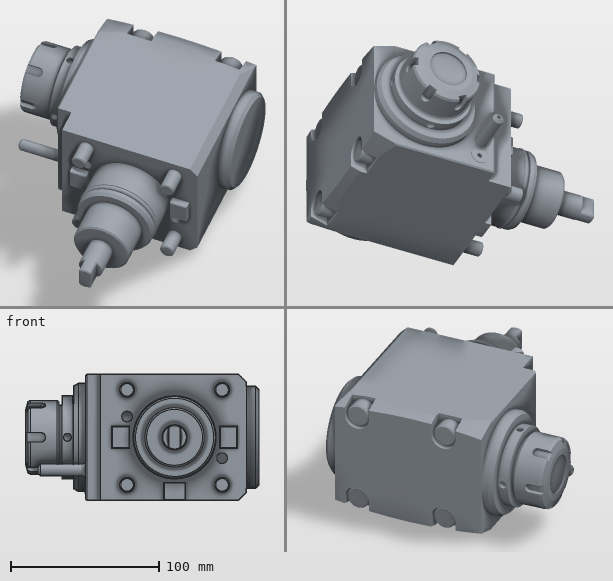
import cadquery as cq
import math


OVERALL_LENGTH = 189.5
HEIGHT = 85.0
LEFT_X = -60.0
RIGHT_X = 48.3
BACK_Y = 36.8
MOUNT_Y = -69.7
STEP_X = -49.8
STEP_Y = -53.0
RIGHT_CHAMFER = 5.3
LEFT_CHAMFER = 1.0
TOP_Z = HEIGHT / 2

RELIEF_AXIS_X = -6.8
RELIEF_RADIUS = 379.0
RELIEF_DEPTH = 2.0
RELIEF_LENGTH = 6.5

FLANGE_RADIUS = 36.5
FLANGE_FACE_X = -68.0
FLANGE_CHAMFER_LENGTH = 3.2
FLANGE_CHAMFER_DEPTH = 1.9
COVER_RADIUS = 34.5
COVER_END_X = 57.0
COVER_CHAMFER = 2.5

SCREW_OFFSET = 32.0
SCREW_DIAMETER = 10.0
SCREW_RADIUS = SCREW_DIAMETER / 2
SCREW_TIP_Y = -84.9
SCREW_CHAMFER = 0.8
HEAD_RADIUS = 8.0
HEAD_TOP_Y = 35.0
HEAD_CHAMFER = 1.0
RECESS_RADIUS = 9.0
RECESS_FLOOR_Y = 25.0

KEY_WIDTH = 15.0
KEY_LENGTH = 12.1
KEY_HEIGHT = 5.1
KEY_INNER = 30.3
KEY_CHAMFER = 0.5

FACE_HOLE_RADIUS = 3.6
FACE_HOLE_Z = 14.0
FACE_HOLE_DEPTH = 7.5
DRILL_TIP_ANGLE = 118.0

PILOT_RADIUS = 27.5
PILOT_END_Y = -99.9
PILOT_CHAMFER_LENGTH = 2.5
PILOT_CHAMFER_DEPTH = 1.1
GROOVE_RADIUS = 25.4
GROOVE_START_Y = -90.2
GROOVE_END_Y = -94.5
RING_SECTION_RADIUS = 1.7
RING_OUTER_RADIUS = 28.0
SHANK_DIAMETER = 40.0
SHANK_RADIUS = SHANK_DIAMETER / 2
SHANK_END_Y = -123.7
SHANK_CHAMFER = 1.1
SHAFT_RADIUS = 8.5
SHAFT_SHOULDER_Y = -142.5
SHAFT_CHAMFER = 0.5
TANG_END_Y = BACK_Y - OVERALL_LENGTH
TANG_WIDTH = 8.7
TANG_CHAMFER = 0.8

PIPE_Y = -41.7
PIPE_Z = -22.0
PIPE_RADIUS = 4.0
PIPE_TIP_X = -92.1
PIPE_TIP_CHAMFER = 1.7
PIPE_BORE_RADIUS = 1.7
PIPE_BORE_DEPTH = 5.7
PIPE_FLARE = 2.3
CAP_Z = -31.8
CAP_RADIUS = 5.9
CAP_HEIGHT = 0.4
SOCKET_WIDTH = 3.5
SOCKET_DEPTH = 2.8

NUT_FACE_X = -100.6
NUT_FACE_RADIUS = 18.0
NUT_CONE_X = -99.0
NUT_CONE_RADIUS = 24.0
NUT_RADIUS = 25.0
NUT_BODY_X = -97.2
NUT_BACK_X = -77.9
NUT_BACK_CHAMFER = 1.3
NECK_RADIUS = 21.8
COLLET_RADIUS = 13.6
COLLET_RECESS = 1.5
SLOT_COUNT = 6
SLOT_WIDTH = 6.5
SLOT_END_X = -87.0
SLOT_FLOOR_RADIUS = 21.6
COLLAR_RADIUS = 28.2
COLLAR_FRONT_X = -75.8
COLLAR_BACK_X = -68.6
COLLAR_HOLE_COUNT = 4
COLLAR_HOLE_RADIUS = 2.7
COLLAR_HOLE_DEPTH = 3.8
JOURNAL_RADIUS = 22.7


def turned_x(points):
    """Solid turned about the X axis from (x, radius) points."""
    return cq.Workplane("XY").polyline(points).close().revolve(360, (0, 0, 0), (1, 0, 0))


def turned_y(points):
    """Solid turned about the Y axis from (radius, y) points."""
    return cq.Workplane("XY").polyline(points).close().revolve(360, (0, 0, 0), (0, 1, 0))


def cylinder_y(radius, x, z, start_y, end_y):
    """Cylinder parallel to Y, running from start_y towards -Y to end_y."""
    return cq.Workplane("XZ", origin=(x, start_y, z)).circle(radius).extrude(start_y - end_y)


def drill(radius, depth, mouth, direction):
    """Drilled hole with a conical tip below its full-radius depth."""
    start = cq.Vector(*mouth)
    axis = cq.Vector(*direction)
    tip_length = radius / math.tan(math.radians(DRILL_TIP_ANGLE / 2))
    bore = cq.Solid.makeCylinder(radius, depth, start, axis)
    tip = cq.Solid.makeCone(radius, 0, tip_length, start + axis * depth, axis)
    return cq.Workplane(bore).union(cq.Workplane(tip))


def housing_block():
    outline = [
        (LEFT_X, BACK_Y),
        (RIGHT_X, BACK_Y),
        (RIGHT_X, MOUNT_Y),
        (STEP_X, MOUNT_Y),
        (STEP_X, STEP_Y),
        (LEFT_X, STEP_Y),
    ]
    block = cq.Workplane("XY").polyline(outline).close().extrude(TOP_Z, both=True)
    block = block.faces(">X").edges("|Y").chamfer(RIGHT_CHAMFER)
    return block.faces("<X").edges("|Y or <Y").chamfer(LEFT_CHAMFER)


def back_relief():
    """Material outside a wide cone, removed from the upper back edge."""
    base_radius = RELIEF_RADIUS + BACK_Y * RELIEF_DEPTH / RELIEF_LENGTH
    axis_z = TOP_Z - RELIEF_DEPTH - RELIEF_RADIUS
    cone = cq.Solid.makeCone(
        base_radius, RELIEF_RADIUS, BACK_Y, cq.Vector(RELIEF_AXIS_X, 0, axis_z), cq.Vector(0, 1, 0)
    )
    slab = cq.Workplane("XY").box(
        2 * (RIGHT_X - LEFT_X), BACK_Y, TOP_Z, centered=(True, False, False)
    )
    return slab.cut(cq.Workplane(cone))


def screw_recess(x, side):
    """Counterbore in the back face, open through the upper (side 1) or lower (side -1) face."""
    bore = cylinder_y(RECESS_RADIUS, x, side * SCREW_OFFSET, BACK_Y, RECESS_FLOOR_Y)
    wall_height = TOP_Z - SCREW_OFFSET
    opening = cq.Workplane("XY").box(2 * RECESS_RADIUS, BACK_Y - RECESS_FLOOR_Y, wall_height)
    opening = opening.translate(
        (x, (BACK_Y + RECESS_FLOOR_Y) / 2, side * (SCREW_OFFSET + wall_height / 2))
    )
    return bore.union(opening)


def screw(x, z):
    head = cylinder_y(HEAD_RADIUS, x, z, HEAD_TOP_Y, RECESS_FLOOR_Y)
    head = head.faces(">Y").chamfer(HEAD_CHAMFER)
    shank = cylinder_y(SCREW_RADIUS, x, z, RECESS_FLOOR_Y, SCREW_TIP_Y)
    return head.union(shank.faces("<Y").chamfer(SCREW_CHAMFER))


def key(angle):
    """Key at the given angle about the Y axis; 0 points to +X."""
    body = cq.Workplane("XY").box(KEY_LENGTH, KEY_HEIGHT, KEY_WIDTH)
    body = body.faces("<Y").chamfer(KEY_CHAMFER)
    body = body.translate((KEY_INNER + KEY_LENGTH / 2, MOUNT_Y - KEY_HEIGHT / 2, 0))
    return body.rotate((0, 0, 0), (0, 1, 0), angle)


def flange():
    """Spindle flange, sunk into the left face past its edge chamfer."""
    return turned_x([
        (LEFT_X + LEFT_CHAMFER, 0),
        (LEFT_X + LEFT_CHAMFER, FLANGE_RADIUS),
        (FLANGE_FACE_X + FLANGE_CHAMFER_LENGTH, FLANGE_RADIUS),
        (FLANGE_FACE_X, FLANGE_RADIUS - FLANGE_CHAMFER_DEPTH),
        (FLANGE_FACE_X, 0),
    ])


def cover():
    return turned_x([
        (RIGHT_X, 0),
        (RIGHT_X, COVER_RADIUS),
        (COVER_END_X - COVER_CHAMFER, COVER_RADIUS),
        (COVER_END_X, COVER_RADIUS - COVER_CHAMFER),
        (COVER_END_X, 0),
    ])


def mounting_shank():
    """Pilot with its ring groove, then the plain shank."""
    return turned_y([
        (0, MOUNT_Y),
        (PILOT_RADIUS, MOUNT_Y),
        (PILOT_RADIUS, GROOVE_START_Y),
        (GROOVE_RADIUS, GROOVE_START_Y),
        (GROOVE_RADIUS, GROOVE_END_Y),
        (PILOT_RADIUS, GROOVE_END_Y),
        (PILOT_RADIUS, PILOT_END_Y + PILOT_CHAMFER_LENGTH),
        (PILOT_RADIUS - PILOT_CHAMFER_DEPTH, PILOT_END_Y),
        (SHANK_RADIUS, PILOT_END_Y),
        (SHANK_RADIUS, SHANK_END_Y + SHANK_CHAMFER),
        (SHANK_RADIUS - SHANK_CHAMFER, SHANK_END_Y),
        (0, SHANK_END_Y),
    ])


def sealing_ring():
    ring_y = GROOVE_START_Y - RING_SECTION_RADIUS
    ring_radius = RING_OUTER_RADIUS - RING_SECTION_RADIUS
    ring = cq.Solid.makeTorus(
        ring_radius, RING_SECTION_RADIUS, cq.Vector(0, ring_y, 0), cq.Vector(0, 1, 0)
    )
    return cq.Workplane(ring)


def drive_end():
    """Drive shaft with a chamfered shoulder and a flat tang that keeps its full diameter."""
    shaft = cylinder_y(SHAFT_RADIUS, 0, 0, SHANK_END_Y, SHAFT_SHOULDER_Y)
    shaft = shaft.faces("<Y").chamfer(SHAFT_CHAMFER)
    tang_start_y = SHAFT_SHOULDER_Y + SHAFT_CHAMFER
    length = tang_start_y - TANG_END_Y
    bar = cylinder_y(SHAFT_RADIUS, 0, 0, tang_start_y, TANG_END_Y)
    flats = cq.Workplane("XY").box(TANG_WIDTH, length, 2 * SHAFT_RADIUS)
    flats = flats.translate((0, tang_start_y - length / 2, 0))
    tang = bar.intersect(flats).faces("<Y or <X or >X").edges().chamfer(TANG_CHAMFER)
    return shaft.union(tang)


def coolant_pipe():
    """Pipe along -X with a chamfered, bored tip and a concave flare at its root."""
    arc_mid = PIPE_FLARE * (1 - math.sqrt(0.5))
    profile = (
        cq.Workplane("XY", origin=(0, PIPE_Y, PIPE_Z))
        .moveTo(LEFT_X + LEFT_CHAMFER, 0)
        .lineTo(LEFT_X + LEFT_CHAMFER, PIPE_RADIUS + PIPE_FLARE)
        .lineTo(LEFT_X, PIPE_RADIUS + PIPE_FLARE)
        .threePointArc((LEFT_X - arc_mid, PIPE_RADIUS + arc_mid), (LEFT_X - PIPE_FLARE, PIPE_RADIUS))
        .lineTo(PIPE_TIP_X + PIPE_TIP_CHAMFER, PIPE_RADIUS)
        .lineTo(PIPE_TIP_X, PIPE_RADIUS - PIPE_TIP_CHAMFER)
        .lineTo(PIPE_TIP_X, PIPE_BORE_RADIUS)
        .lineTo(PIPE_TIP_X + PIPE_BORE_DEPTH, PIPE_BORE_RADIUS)
        .lineTo(PIPE_TIP_X + PIPE_BORE_DEPTH, 0)
        .close()
    )
    return profile.revolve(360, (0, 0, 0), (1, 0, 0))


def cap_screw():
    face = cq.Workplane("YZ", origin=(LEFT_X, PIPE_Y, CAP_Z))
    return face.circle(CAP_RADIUS).extrude(-CAP_HEIGHT)


def cap_socket():
    face = cq.Workplane("YZ", origin=(LEFT_X - CAP_HEIGHT, PIPE_Y, CAP_Z))
    return face.polygon(6, SOCKET_WIDTH, circumscribed=True).extrude(SOCKET_DEPTH)


def drilled_face_hole():
    mouth = (-SCREW_OFFSET, MOUNT_Y, FACE_HOLE_Z)
    return drill(FACE_HOLE_RADIUS, FACE_HOLE_DEPTH, mouth, (0, 1, 0))


def flat_face_hole():
    floor_y = MOUNT_Y + FACE_HOLE_DEPTH
    return cylinder_y(FACE_HOLE_RADIUS, SCREW_OFFSET, -FACE_HOLE_Z, floor_y, MOUNT_Y)


def make_housing():
    body = housing_block()
    relief = back_relief()
    body = body.cut(relief).cut(relief.mirror("XY"))
    for part in (flange(), cover(), mounting_shank(), sealing_ring(), drive_end()):
        body = body.union(part)
    for x in (-SCREW_OFFSET, SCREW_OFFSET):
        for side in (-1, 1):
            body = body.cut(screw_recess(x, side))
            body = body.union(screw(x, side * SCREW_OFFSET))
    for angle in (0, 90, 180):
        body = body.union(key(angle))
    body = body.union(cap_screw()).cut(cap_socket()).union(coolant_pipe())
    return body.cut(drilled_face_hole()).cut(flat_face_hole())


def nut_slot():
    """Round-ended spanner slot on the +Z side of the nut, open at its face."""
    round_x = SLOT_END_X - SLOT_WIDTH / 2
    floor = cq.Workplane("XY", origin=(0, 0, SLOT_FLOOR_RADIUS))
    return (
        floor.moveTo(NUT_FACE_X, -SLOT_WIDTH / 2)
        .lineTo(round_x, -SLOT_WIDTH / 2)
        .threePointArc((SLOT_END_X, 0), (round_x, SLOT_WIDTH / 2))
        .lineTo(NUT_FACE_X, SLOT_WIDTH / 2)
        .close()
        .extrude(NUT_RADIUS)
    )


def make_spindle():
    """Collet nut, neck, wrench collar and the journal that meets the flange."""
    body = turned_x([
        (NUT_FACE_X + COLLET_RECESS, 0),
        (NUT_FACE_X + COLLET_RECESS, COLLET_RADIUS),
        (NUT_FACE_X, COLLET_RADIUS),
        (NUT_FACE_X, NUT_FACE_RADIUS),
        (NUT_CONE_X, NUT_CONE_RADIUS),
        (NUT_BODY_X, NUT_RADIUS),
        (NUT_BACK_X - NUT_BACK_CHAMFER, NUT_RADIUS),
        (NUT_BACK_X, NUT_RADIUS - NUT_BACK_CHAMFER),
        (NUT_BACK_X, NECK_RADIUS),
        (COLLAR_FRONT_X, NECK_RADIUS),
        (COLLAR_FRONT_X, COLLAR_RADIUS),
        (COLLAR_BACK_X, COLLAR_RADIUS),
        (COLLAR_BACK_X, JOURNAL_RADIUS),
        (FLANGE_FACE_X, JOURNAL_RADIUS),
        (FLANGE_FACE_X, 0),
    ])
    slot_pitch = 360 / SLOT_COUNT
    for i in range(SLOT_COUNT):
        angle = (i + 0.5) * slot_pitch
        body = body.cut(nut_slot().rotate((0, 0, 0), (1, 0, 0), angle))
    hole_x = (COLLAR_FRONT_X + COLLAR_BACK_X) / 2
    hole = drill(COLLAR_HOLE_RADIUS, COLLAR_HOLE_DEPTH, (hole_x, 0, COLLAR_RADIUS), (0, 0, -1))
    for i in range(COLLAR_HOLE_COUNT):
        body = body.cut(hole.rotate((0, 0, 0), (1, 0, 0), i * 360 / COLLAR_HOLE_COUNT))
    return body


housing = make_housing()
spindle = make_spindle()
result = cq.Compound.makeCompound([housing.solids().val(), spindle.solids().val()])